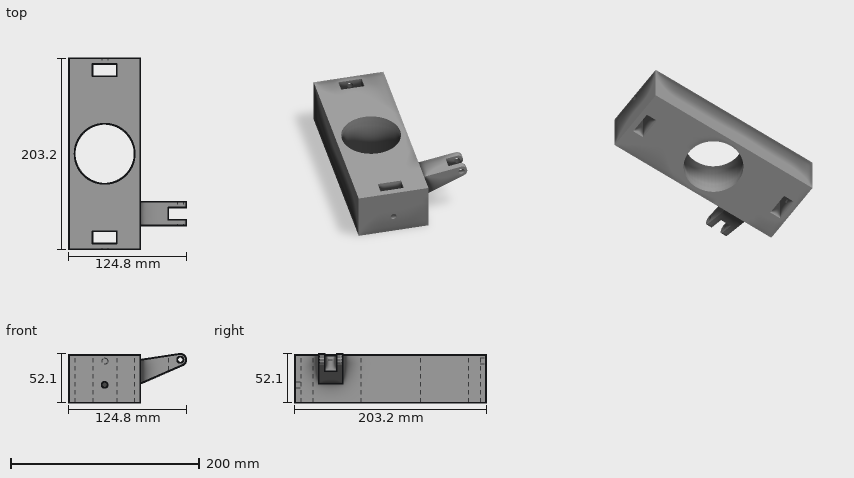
import cadquery as cq
import math

block_length = 203.2
block_width = 76.2
block_height = 50.8
wall = block_length / 32

bore_diameter = block_width - 2 * wall
slot_length = 25.5
slot_width = slot_length / 2
pin_diameter = wall
front_hole_height = 3 * wall
back_hole_height = block_height - wall

arm_width = 25.5
arm_center_y = -2.5 * arm_width
arm_root_bottom = 20.3
arm_root_top = 45.7
eye_radius = wall
eye_x = block_width / 2 + 42.3
eye_z = 45.7
fork_gap = arm_width / 2
fork_depth = 3 * wall


def tangent_point(root_x, root_z, side):
    """Point where a line from the arm root touches the eye; side is +1 above, -1 below."""
    dx = root_x - eye_x
    dz = root_z - eye_z
    toward_root = math.atan2(dz, dx)
    angle = toward_root - side * math.acos(eye_radius / math.hypot(dx, dz))
    return (eye_x + eye_radius * math.cos(angle), eye_z + eye_radius * math.sin(angle))


def make_block():
    block = cq.Workplane("XY").box(
        block_width, block_length, block_height, centered=(True, True, False)
    )
    block = block.faces(">Z").workplane().hole(bore_diameter)
    slot_y = block_length / 2 - wall - slot_width / 2
    return (
        block.faces(">Z").workplane(origin=(0, 0, block_height))
        .pushPoints([(0, -slot_y), (0, slot_y)])
        .rect(slot_length, slot_width)
        .cutThruAll()
    )


def make_end_hole(end_y, height, inward):
    """Cross hole from an end face into the slot behind it; inward is +1 or -1 along Y."""
    return (
        cq.Workplane("XZ", origin=(0, end_y, height))
        .circle(pin_diameter / 2)
        .extrude(-inward * (wall + slot_width / 2))
    )


def make_arm():
    root_x = block_width / 2
    upper = tangent_point(root_x, arm_root_top, 1)
    lower = tangent_point(root_x, arm_root_bottom, -1)
    arm = (
        cq.Workplane("XZ", origin=(0, arm_center_y, 0))
        .moveTo(root_x, arm_root_bottom)
        .lineTo(*lower)
        .threePointArc((eye_x + eye_radius, eye_z), upper)
        .lineTo(root_x, arm_root_top)
        .close()
        .extrude(arm_width / 2, both=True)
    )
    eye_hole = (
        cq.Workplane("XZ", origin=(eye_x, arm_center_y, eye_z))
        .circle(pin_diameter / 2)
        .extrude(arm_width, both=True)
    )
    fork_opening = cq.Workplane("XY").box(fork_depth, fork_gap, 2 * block_height).translate(
        (eye_x + eye_radius - fork_depth / 2, arm_center_y, eye_z)
    )
    return arm.cut(eye_hole).cut(fork_opening)


front_hole = make_end_hole(-block_length / 2, front_hole_height, 1)
back_hole = make_end_hole(block_length / 2, back_hole_height, -1)
result = make_block().cut(front_hole).cut(back_hole).union(make_arm())